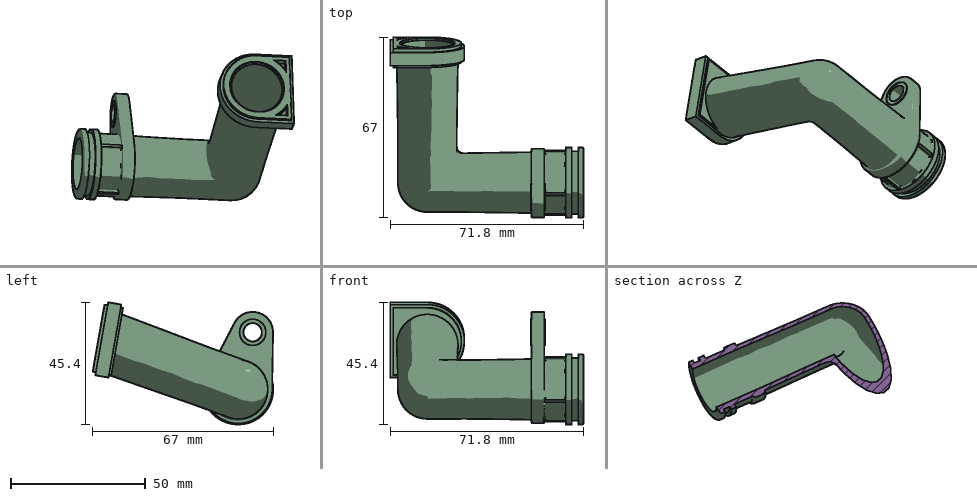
import cadquery as cq
import math

BRANCH_TILT = 20.0
FLANGE_TILT = 10.0

BEND_RADIUS = 11.0
RUN_END_RADIUS = 11.35
BRANCH_END_RADIUS = 11.4
BRANCH_TAPER_LENGTH = 46.65
WALL = 1.9
STUB_LENGTH = 14.35
CROTCH_FILLET = 2.9

FLANGE_DISTANCE = 53.8
FLANGE_RISE = 0.35
FLANGE_RADIUS = 13.8
FLANGE_THICKNESS = 4.95
STEP_INSET = 1.15
FRONT_STEP = 1.2
BACK_STEP = 0.85
BRANCH_EMBED = 2.9
MOUTH_RADIUS = 10.2
MOUTH_DEPTH = 0.7

CORNER_MARGIN = 1.4
CORNER_RING_RADIUS = 13.05
CORNER_DEPTH = 2.9

LUG_START = 38.6
LUG_END = 43.4
LUG_BASE_RADIUS = 12.6
EAR_RADIUS = 7.6
EAR_Y = -5.4
EAR_Z = 21.2
LUG_EDGE_FILLET = 0.5
LUG_ROOT_FILLET = 0.4

SPIGOT_END = 58.0
COLLAR_RADIUS = 13.05
COLLAR_START = 51.4
GROOVE_START = 53.6
GROOVE_END = 56.0
GROOVE_RADIUS = 11.7
LIP_FILLET = 0.7

POCKET_COUNT = 4
POCKET_FLOOR_RADIUS = 11.6
RIB_RADIUS = 12.6
RIB_WIDTH = 1.1
POCKET_FILLET = 0.5

BUSHING_RADIUS = 4.9
BUSHING_BORE_RADIUS = 3.4
BUSHING_PROUD = 0.3

X_AXIS = cq.Vector(1, 0, 0)
Y_AXIS = cq.Vector(0, 1, 0)
ORIGIN = cq.Vector(0, 0, 0)


def tilted(solid, angle):
    return solid.rotate((0, 0, 0), (1, 0, 0), angle)


def run_cylinder(radius, start, end):
    return cq.Workplane("YZ").workplane(offset=start).circle(radius).extrude(end - start)


def pipe(end_radius, taper_end, end, inset, direction):
    """Straight by the bend, tapered up to taper_end, then straight again up to end."""
    start_radius = BEND_RADIUS - inset
    stub = cq.Solid.makeCylinder(start_radius, STUB_LENGTH, ORIGIN, direction)
    taper = cq.Solid.makeCone(
        start_radius, end_radius - inset, taper_end - STUB_LENGTH, direction * STUB_LENGTH, direction
    )
    tail = cq.Solid.makeCylinder(end_radius - inset, end - taper_end, direction * taper_end, direction)
    return stub, taper.fuse(tail)


def elbow(inset, branch_end):
    """Ball bend with its run and branch pipes; the crotch edge is rounded on the outer surface only."""
    run_stub, run_rest = pipe(RUN_END_RADIUS, LUG_START, SPIGOT_END, inset, X_AXIS)
    branch_stub, branch_rest = pipe(BRANCH_END_RADIUS, BRANCH_TAPER_LENGTH, branch_end, inset, Y_AXIS)
    bend = cq.Workplane(run_stub).union(branch_stub).union(cq.Workplane("XY").sphere(BEND_RADIUS - inset))
    if inset == 0:
        crotch = cq.selectors.NearestToPointSelector((BEND_RADIUS, BEND_RADIUS, 0))
        bend = bend.edges("%BSPLINE or %ELLIPSE").edges(crotch).fillet(CROTCH_FILLET)
    return bend.union(run_rest).union(branch_rest)


def d_plate(inset, start, end):
    """D-shaped plate: square towards -X, half round towards +X, from start to end along +Y."""
    radius = FLANGE_RADIUS - inset
    return (
        cq.Workplane("XZ", origin=(0, start, 0))
        .moveTo(0, radius)
        .lineTo(-radius, radius)
        .lineTo(-radius, -radius)
        .lineTo(0, -radius)
        .threePointArc((radius, 0), (0, radius))
        .close()
        .extrude(start - end)
    )


def place_on_branch(solid):
    rise = math.radians(BRANCH_TILT)
    y = FLANGE_DISTANCE * math.cos(rise)
    z = FLANGE_DISTANCE * math.sin(rise) + FLANGE_RISE
    return tilted(solid, FLANGE_TILT).translate((0, y, z))


def flange_disc(radius, depth):
    return cq.Workplane("XZ", origin=(0, FRONT_STEP, 0)).circle(radius).extrude(depth)


def corner_pockets():
    """Three-sided pockets between the ring round the mouth and the square corners."""
    side = FLANGE_RADIUS - STEP_INSET - CORNER_MARGIN
    face = cq.Workplane("XZ", origin=(-side / 2, FRONT_STEP, 0))
    return face.rect(side, 2 * side).extrude(CORNER_DEPTH).cut(flange_disc(CORNER_RING_RADIUS, CORNER_DEPTH))


def flange():
    plate = d_plate(0, -FLANGE_THICKNESS, 0)
    step = d_plate(STEP_INSET, -FLANGE_THICKNESS - BACK_STEP, FRONT_STEP)
    return place_on_branch(plate.union(step).cut(corner_pockets()))


def lug():
    """Disc round the run and disc of the ear, joined by the two lines tangent to both."""
    lean = math.atan2(EAR_Z, EAR_Y)
    spread = math.acos((LUG_BASE_RADIUS - EAR_RADIUS) / math.hypot(EAR_Y, EAR_Z))
    corners = []
    for angle in (lean - spread, lean + spread):
        y, z = math.cos(angle), math.sin(angle)
        base_point = (LUG_BASE_RADIUS * y, LUG_BASE_RADIUS * z)
        ear_point = (EAR_Y + EAR_RADIUS * y, EAR_Z + EAR_RADIUS * z)
        corners.append((base_point, ear_point))
    (right_base, right_ear), (left_base, left_ear) = corners
    ear_top = (EAR_Y + EAR_RADIUS * math.cos(lean), EAR_Z + EAR_RADIUS * math.sin(lean))
    base_bottom = (-LUG_BASE_RADIUS * math.cos(lean), -LUG_BASE_RADIUS * math.sin(lean))
    outline = (
        cq.Workplane("YZ", origin=(LUG_START, 0, 0))
        .moveTo(*right_base)
        .lineTo(*right_ear)
        .threePointArc(ear_top, left_ear)
        .lineTo(*left_base)
        .threePointArc(base_bottom, right_base)
        .close()
    )
    return outline.extrude(LUG_END - LUG_START).faces("<X or >X").edges().fillet(LUG_EDGE_FILLET)


def spigot_pocket():
    """Quarter ring between two ribs, rounded along the foot of its walls."""
    half_rib = RIB_WIDTH / 2
    ring = run_cylinder(COLLAR_RADIUS, LUG_END, COLLAR_START)
    quarter = cq.Workplane("XY").box(SPIGOT_END, COLLAR_RADIUS, COLLAR_RADIUS, centered=False)
    floor = run_cylinder(POCKET_FLOOR_RADIUS, LUG_END, COLLAR_START)
    pocket = ring.intersect(quarter.translate((0, half_rib, half_rib))).cut(floor)
    foot = cq.selectors.NearestToPointSelector(((LUG_END + COLLAR_START) / 2, 0, 0))
    return pocket.faces(foot).edges().fillet(POCKET_FILLET)


def spigot():
    body = run_cylinder(RIB_RADIUS, LUG_END, COLLAR_START)
    pocket = spigot_pocket()
    for index in range(POCKET_COUNT):
        body = body.cut(tilted(pocket, BRANCH_TILT + index * 360 / POCKET_COUNT))
    collar = run_cylinder(COLLAR_RADIUS, COLLAR_START, GROOVE_START)
    groove_floor = run_cylinder(GROOVE_RADIUS, GROOVE_START, GROOVE_END)
    lip = run_cylinder(COLLAR_RADIUS, GROOVE_END, SPIGOT_END).faces(">X").edges().fillet(LIP_FILLET)
    return body.union(collar).union(groove_floor).union(lip)


def ear_cylinder(radius, overhang):
    return run_cylinder(radius, LUG_START - overhang, LUG_END + overhang).translate((0, EAR_Y, EAR_Z))


def make_pipe():
    outer_elbow = tilted(elbow(0, FLANGE_DISTANCE - BRANCH_EMBED), BRANCH_TILT)
    bore = tilted(elbow(WALL, FLANGE_DISTANCE + BRANCH_EMBED), BRANCH_TILT)
    mouth = place_on_branch(flange_disc(MOUTH_RADIUS, MOUTH_DEPTH))
    outside = outer_elbow.union(flange()).union(lug()).union(spigot())
    lug_root = cq.selectors.NearestToPointSelector((LUG_START, 0, 0))
    outside = outside.edges(lug_root).fillet(LUG_ROOT_FILLET)
    return outside.cut(bore).cut(mouth).cut(ear_cylinder(BUSHING_RADIUS, 0))


def make_bushing():
    return ear_cylinder(BUSHING_RADIUS, BUSHING_PROUD).cut(ear_cylinder(BUSHING_BORE_RADIUS, BUSHING_PROUD))


elbow_pipe = make_pipe()
bushing = make_bushing()
result = cq.Compound.makeCompound([elbow_pipe.val(), bushing.val()])